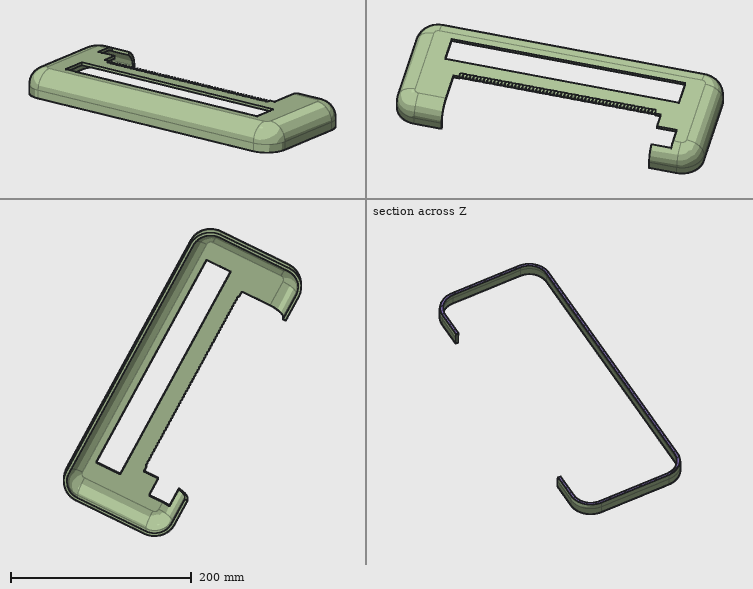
import cadquery as cq
import math

LENGTH = 350.0
WIDTH = 135.0
HEIGHT = 30.0
CORNER_RADIUS = 25.0
EDGE_RADIUS = 20.0
WALL = 3.5

WINDOW_LENGTH = 267.0
WINDOW_WIDTH = 30.0
WINDOW_CENTRE_Y = -23.7

GAP_LENGTH = 237.0
GAP_FLOOR_Y = 13.1

NOTCH_LEFT_X = -141.0
NOTCH_FRONT_Y = 31.0
NOTCH_BACK_Y = 56.5

GROOVE_COUNT = 56
GROOVE_PITCH = 4.0
GROOVE_SMALL_DIAMETER = 2.5
GROOVE_TILT = 35.0
GROOVE_HALF_ANGLE = 11.0
GROOVE_DEPTH = 9.0
TOOTH_TIP_Y = 12.1
COMB_LENGTH = GROOVE_COUNT * GROOVE_PITCH


def rounded_block(length, width, height, corner_radius, edge_radius):
    """Block on Z = 0 with rounded vertical corners and a rounded top edge."""
    block = cq.Workplane("XY").box(length, width, height, centered=(True, True, False))
    return block.edges("|Z").fillet(corner_radius).faces(">Z").edges().fillet(edge_radius)


def through_cutter(x_min, x_max, y_min, y_max):
    """Rectangular cutter that passes through the full height."""
    cutter = cq.Workplane("XY").box(x_max - x_min, y_max - y_min, HEIGHT, centered=False)
    return cutter.translate((x_min, y_min, 0))


def shell():
    """Rounded cover with an even wall, open at the bottom."""
    outside = rounded_block(LENGTH, WIDTH, HEIGHT, CORNER_RADIUS, EDGE_RADIUS)
    inside = rounded_block(
        LENGTH - 2 * WALL,
        WIDTH - 2 * WALL,
        HEIGHT - WALL,
        CORNER_RADIUS - WALL,
        EDGE_RADIUS - WALL,
    )
    return outside.cut(inside)


def cut_window(body):
    half_length = WINDOW_LENGTH / 2
    half_width = WINDOW_WIDTH / 2
    window = through_cutter(
        -half_length,
        half_length,
        WINDOW_CENTRE_Y - half_width,
        WINDOW_CENTRE_Y + half_width,
    )
    return body.cut(window)


def cut_gap_and_notch(body):
    half_gap = GAP_LENGTH / 2
    gap = through_cutter(-half_gap, half_gap, GAP_FLOOR_Y, WIDTH / 2)
    notch = through_cutter(NOTCH_LEFT_X, -half_gap, NOTCH_FRONT_Y, NOTCH_BACK_Y)
    return body.cut(gap).cut(notch)


def groove_cutter(x):
    """Tapered groove whose axis meets the plate underside at the gap floor."""
    tilt = math.radians(GROOVE_TILT)
    small_radius = GROOVE_SMALL_DIAMETER / 2
    large_radius = small_radius + GROOVE_DEPTH * math.tan(math.radians(GROOVE_HALF_ANGLE))
    start = cq.Vector(x, GAP_FLOOR_Y, HEIGHT - WALL)
    axis = cq.Vector(0, -math.sin(tilt), math.cos(tilt))
    return cq.Workplane(cq.Solid.makeCone(small_radius, large_radius, GROOVE_DEPTH, start, axis))


def cut_comb(body):
    """Set the tooth tips slightly below the gap floor, then cut the grooves."""
    half_comb = COMB_LENGTH / 2
    body = body.cut(through_cutter(-half_comb, half_comb, TOOTH_TIP_Y, GAP_FLOOR_Y))
    for index in range(GROOVE_COUNT):
        x = (index + 0.5) * GROOVE_PITCH - half_comb
        body = body.cut(groove_cutter(x))
    return body


result = shell()
result = cut_window(result)
result = cut_gap_and_notch(result)
result = cut_comb(result)